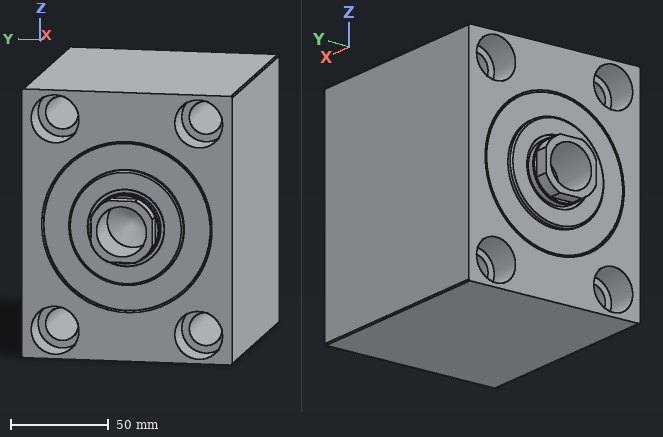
import cadquery as cq
import math

TOTAL_LENGTH = 137.0
BLOCK_WIDTH = 110.0
BLOCK_HEIGHT = 140.0
EDGE_CHAMFER = 0.7
ROD_PROJECTION = 14.0
BLOCK_LENGTH = TOTAL_LENGTH - ROD_PROJECTION

SCREW_SPACING_Y = 75.0
SCREW_SPACING_Z = 110.0
SCREW_RADIUS = 8.5
SCREW_HEAD_RADIUS = 12.5
SCREW_HEAD_DEPTH = 18.2

GLAND_RADIUS = 43.5
GLAND_DEPTH = 28.0
SEAT_CHAMFER = 1.0
COLLAR_RADIUS = 30.0
COLLAR_HEIGHT = 3.0
COLLAR_CHAMFER = 1.0
WIPER_RADIUS = 20.0
WIPER_DEPTH = 1.4

ROD_RADIUS = 18.0
ROD_CHAMFER = 0.5
NECK_RADIUS = 17.5
NECK_LENGTH = 8.0
ACROSS_FLATS = 32.0
ROD_BORE_RADIUS = 13.0
ROD_BORE_DEPTH = 28.0
DRILL_POINT_ANGLE = 120.0
DRILL_POINT_LENGTH = ROD_BORE_RADIUS / math.tan(math.radians(DRILL_POINT_ANGLE / 2))

ROD_TIP = -ROD_PROJECTION
SHOULDER = ROD_TIP + NECK_LENGTH
ROD_END = GLAND_DEPTH
COLLAR_FACE = -COLLAR_HEIGHT


def section(x):
    """Sketch plane across the cylinder axis at the given X."""
    return cq.Workplane("YZ").workplane(offset=x)


def disc(start, end, radius):
    """Cylinder on the X axis between two X positions."""
    return section(start).circle(radius).extrude(end - start)


def turned(profile):
    """Body of revolution about X from a list of (x, radius) points."""
    return cq.Workplane("XY").polyline(profile).close().revolve(360, (0, 0, 0), (1, 0, 0))


def screw_hole_cut(radius, depth):
    """Four cylinders at the screw positions, starting at the block face."""
    corners = section(0).rect(SCREW_SPACING_Y, SCREW_SPACING_Z, forConstruction=True).vertices()
    return corners.circle(radius).extrude(depth)


def gland_seat():
    """Recess for the gland, flared at its mouth."""
    return turned([
        (0, 0),
        (0, GLAND_RADIUS + SEAT_CHAMFER),
        (SEAT_CHAMFER, GLAND_RADIUS),
        (GLAND_DEPTH, GLAND_RADIUS),
        (GLAND_DEPTH, 0),
    ])


def make_block():
    """Rectangular block with corner screw holes and the gland recess."""
    body = section(0).rect(BLOCK_WIDTH, BLOCK_HEIGHT).extrude(BLOCK_LENGTH)
    body = body.edges("|X").chamfer(EDGE_CHAMFER)
    body = body.cut(screw_hole_cut(SCREW_RADIUS, BLOCK_LENGTH))
    body = body.cut(screw_hole_cut(SCREW_HEAD_RADIUS, SCREW_HEAD_DEPTH))
    return body.cut(gland_seat())


def make_gland():
    """Stepped ring with a chamfered collar, a rod bore and a wiper recess."""
    ring = turned([
        (COLLAR_FACE, ROD_RADIUS),
        (COLLAR_FACE, COLLAR_RADIUS - COLLAR_CHAMFER),
        (COLLAR_FACE + COLLAR_CHAMFER, COLLAR_RADIUS),
        (0, COLLAR_RADIUS),
        (0, GLAND_RADIUS),
        (GLAND_DEPTH, GLAND_RADIUS),
        (GLAND_DEPTH, ROD_RADIUS),
    ])
    return ring.cut(disc(COLLAR_FACE, COLLAR_FACE + WIPER_DEPTH, WIPER_RADIUS))


def rod_bore():
    """Blind drilled bore with a conical end."""
    bore_end = ROD_TIP + ROD_BORE_DEPTH
    return turned([
        (ROD_TIP, 0),
        (ROD_TIP, ROD_BORE_RADIUS),
        (bore_end, ROD_BORE_RADIUS),
        (bore_end + DRILL_POINT_LENGTH, 0),
    ])


def make_rod():
    """Chamfered shank with a four-flat neck and a blind bore from the tip."""
    shank = disc(SHOULDER, ROD_END, ROD_RADIUS).faces("<X").chamfer(ROD_CHAMFER)
    flats = section(ROD_TIP).rect(ACROSS_FLATS, ACROSS_FLATS).extrude(NECK_LENGTH)
    neck = disc(ROD_TIP, SHOULDER, NECK_RADIUS).intersect(flats)
    return shank.union(neck).cut(rod_bore())


block = make_block().solids()
gland = make_gland().solids()
rod = make_rod().solids()

result = cq.Compound.makeCompound([block.val(), gland.val(), rod.val()])